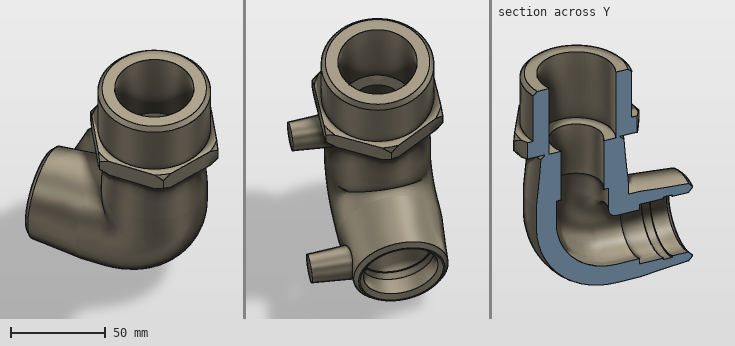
import cadquery as cq
import math

pipe_diameter = 56.0
bend_radius = 20.0
leg_length = 64.0
leg_straight_end = 33.2
shoulder_diameter = 51.0
mouth_chamfer = 2.3
axis_height = pipe_diameter / 2
bend_center_height = axis_height + bend_radius

bend_bore_diameter = 33.9
socket_diameter = 40.0
socket_chamfer = 2.4
groove_diameter = 41.8
groove_offset = 11.8
groove_width = 5.0
neck_bore_diameter = 29.0
nipple_bore_diameter = 41.8

total_height = 133.0
hex_height = 10.5
hex_across_flats = 63.0
hex_across_corners = hex_across_flats / math.cos(math.pi / 6)
hex_face_diameter = 68.2
nipple_diameter = 59.6
nipple_chamfer = 2.3

terminal_distance = 50.5
terminal_tip_y = 47.0
terminal_tip_diameter = 15.4
terminal_taper = 4.0
terminal_root_y = 19.3


def horizontal_leg_plane():
    """Plane at the axis crossing with its normal along the horizontal leg."""
    return cq.Plane(origin=(0, 0, axis_height), xDir=(0, 1, 0), normal=(-1, 0, 0))


def vertical_leg_plane():
    """Plane at the axis crossing with its normal along the vertical leg."""
    return cq.Plane(origin=(0, 0, axis_height), xDir=(1, 0, 0), normal=(0, 0, 1))


def cylinder(plane, diameter, start, end):
    """Cylinder along the plane normal between two distances from its origin."""
    return cq.Workplane(plane).workplane(offset=start).circle(diameter / 2).extrude(end - start)


def frustum(plane, start_diameter, start, end_diameter, end):
    """Cone frustum along the plane normal between two distances from its origin."""
    return (
        cq.Workplane(plane).workplane(offset=start).circle(start_diameter / 2)
        .workplane(offset=end - start).circle(end_diameter / 2)
        .loft(combine=True)
    )


def leg(plane):
    """Straight pipe, slender taper and chamfered mouth of one elbow leg."""
    straight = cylinder(plane, pipe_diameter, bend_radius, leg_straight_end)
    taper_end = leg_length - mouth_chamfer
    mouth_diameter = shoulder_diameter - 2 * mouth_chamfer
    taper = frustum(plane, pipe_diameter, leg_straight_end, shoulder_diameter, taper_end)
    mouth = frustum(plane, shoulder_diameter, taper_end, mouth_diameter, leg_length)
    return straight.union(taper).union(mouth)


def quarter_bend(diameter):
    """Quarter turn of a round section, cut off at the turning axis where it would cross it."""
    section_plane = cq.Plane(
        origin=(0, 0, bend_center_height), xDir=(1, 0, 0), normal=(0, 0, 1)
    )
    radius = diameter / 2
    if radius > bend_radius:
        half_chord = math.sqrt(radius**2 - bend_radius**2)
        section = (
            cq.Workplane(section_plane).moveTo(-bend_radius, -half_chord)
            .radiusArc((radius, 0), -radius).radiusArc((-bend_radius, half_chord), -radius).close()
        )
    else:
        section = cq.Workplane(section_plane).circle(radius)
    return section.revolve(90, (-bend_radius, 0), (-bend_radius, 1))


def hex_nut():
    """Hexagon with its corners on +X and -X, chamfered at both faces."""
    prism = cq.Workplane(vertical_leg_plane()).workplane(offset=leg_length).polygon(
        6, hex_across_corners
    ).extrude(hex_height)
    chamfer_drop = (hex_across_corners - hex_face_diameter) / 2
    envelope = cylinder(
        vertical_leg_plane(), hex_across_corners, leg_length, leg_length + hex_height
    ).faces("<Z or >Z").chamfer(chamfer_drop)
    return prism.intersect(envelope)


def nipple():
    """Chamfered round spigot above the hexagon."""
    spigot = cylinder(
        vertical_leg_plane(), nipple_diameter, leg_length + hex_height, total_height - axis_height
    )
    return spigot.faces(">Z").chamfer(nipple_chamfer)


def terminal(x, z):
    """Solid tapered terminal, widening from its tip toward the pipe."""
    tip_plane = cq.Plane(origin=(x, terminal_tip_y, z), xDir=(1, 0, 0), normal=(0, -1, 0))
    return cq.Workplane(tip_plane).circle(terminal_tip_diameter / 2).extrude(
        terminal_tip_y - terminal_root_y, taper=-terminal_taper
    )


def socket_bore():
    """Socket of the horizontal leg with its mouth chamfer and inner groove."""
    plane = horizontal_leg_plane()
    bore = cylinder(plane, socket_diameter, leg_straight_end, leg_length)
    groove_start = leg_length - groove_offset
    groove = cylinder(plane, groove_diameter, groove_start - groove_width, groove_start)
    lead_in = frustum(
        plane, socket_diameter, leg_length - socket_chamfer,
        socket_diameter + 2 * socket_chamfer, leg_length,
    )
    return bore.union(groove).union(lead_in)


body = quarter_bend(pipe_diameter)
for leg_plane in (horizontal_leg_plane(), vertical_leg_plane()):
    body = body.union(leg(leg_plane))
body = body.union(hex_nut()).union(nipple())
body = body.union(terminal(-terminal_distance, axis_height))
body = body.union(terminal(0, axis_height + terminal_distance))

body = body.cut(quarter_bend(bend_bore_diameter))
for leg_plane in (horizontal_leg_plane(), vertical_leg_plane()):
    body = body.cut(cylinder(leg_plane, bend_bore_diameter, bend_radius, leg_straight_end))
body = body.cut(socket_bore())
body = body.cut(cylinder(vertical_leg_plane(), neck_bore_diameter, leg_straight_end, leg_length))
body = body.cut(
    cylinder(vertical_leg_plane(), nipple_bore_diameter, leg_length, total_height - axis_height)
)

result = body